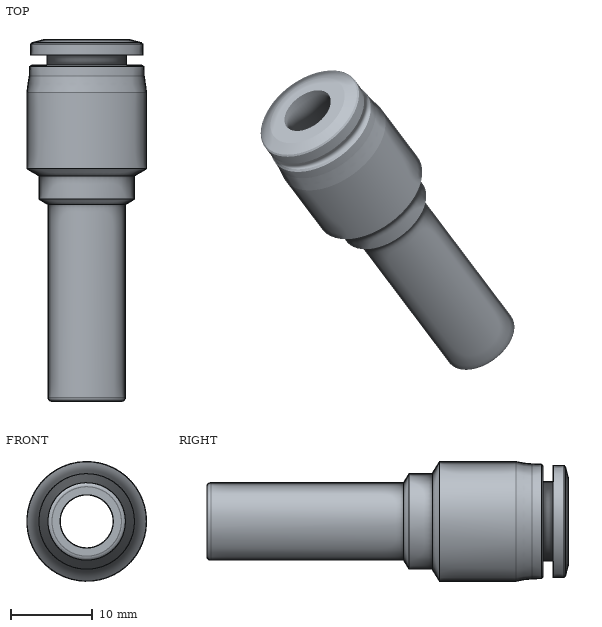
import cadquery as cq
import math

length = 44.65
bore_radius = 3.25

flange_face_radius = 5.22
flange_radius = 6.9
flange_rim_start = 0.4
flange_rim_chamfer = 0.2
flange_back = 1.9
neck_radius = 4.9

body_front = 3.15
land_radius = 7.05
land_chamfer_width = 0.25
land_chamfer_length = 0.2
taper_start = 4.5
taper_start_radius = 7.1
body_radius = 14.8 / 2
taper_end = 6.5
body_back = 15.95
shoulder_front = 16.85
shoulder_radius = 5.9
shoulder_back = 19.7

stem_radius = 4.78
stem_front = 20.35
tip_round = 0.5

corner_gap = 1 - math.sqrt(0.5)


def at(radius, distance):
    """Section point at a radius and a distance from the collar end, which faces +Y."""
    return (radius, length / 2 - distance)


half_section = (
    cq.Workplane("XY")
    .moveTo(*at(bore_radius, 0))
    .lineTo(*at(flange_face_radius, 0))
    .lineTo(*at(flange_radius - flange_rim_chamfer, flange_rim_start))
    .lineTo(*at(flange_radius, flange_rim_start + flange_rim_chamfer))
    .lineTo(*at(flange_radius, flange_back))
    .lineTo(*at(neck_radius, flange_back))
    .lineTo(*at(neck_radius, body_front))
    .lineTo(*at(land_radius - land_chamfer_width, body_front))
    .lineTo(*at(land_radius, body_front + land_chamfer_length))
    .lineTo(*at(taper_start_radius, taper_start))
    .lineTo(*at(body_radius, taper_end))
    .lineTo(*at(body_radius, body_back))
    .lineTo(*at(shoulder_radius, shoulder_front))
    .lineTo(*at(shoulder_radius, shoulder_back))
    .lineTo(*at(stem_radius, stem_front))
    .lineTo(*at(stem_radius, length - tip_round))
    .threePointArc(
        at(stem_radius - corner_gap * tip_round, length - corner_gap * tip_round),
        at(stem_radius - tip_round, length),
    )
    .lineTo(*at(bore_radius, length))
    .close()
)

result = half_section.revolve(360, (0, 0, 0), (0, 1, 0))